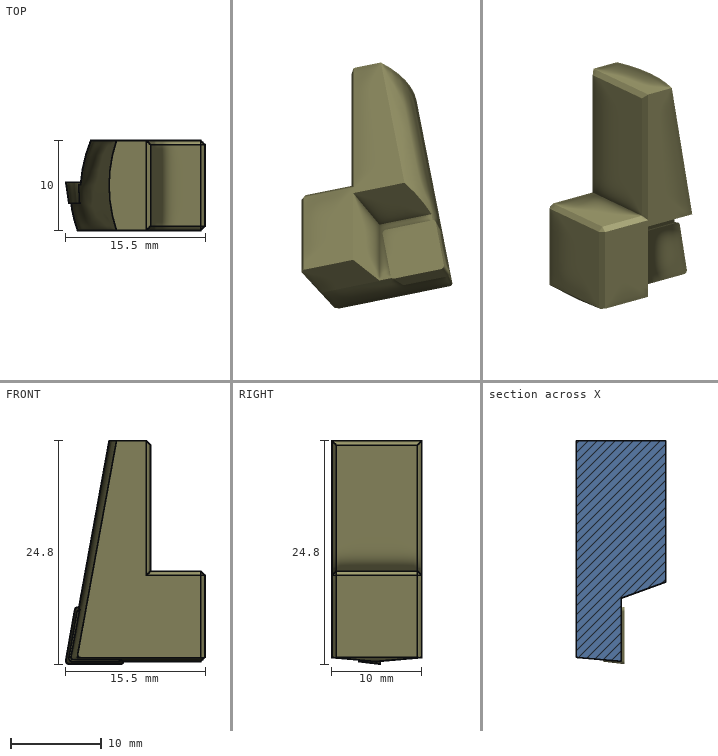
import cadquery as cq
import math

LENGTH = 15.45
WIDTH = 10.0
HEIGHT = 24.8
MID_Y = WIDTH / 2
POST_RIGHT = 9.42
SHOULDER_Z = 10.35
CHAMFER = 0.5

KEEL_Z = 0.3
KEEL_ANGLE = 5.0
LEAN_ANGLE = 10.3
BOW_TOP_X = 4.8
BOW_SAG = 0.82
TOE_RADIUS = 0.3

INSERT_SIDE = 6.45
INSERT_ANGLE = 80.0
INSERT_NOSE_RADIUS = 0.4
INSERT_RELIEF = 7.0
INSERT_THICKNESS = 2.38
INSERT_FACE_Y = 5.38

NOTCH_FLOOR_Y = 5.08
NOTCH_ROOF_Z = 7.32
NOTCH_ROOF_ANGLE = 20.0
NOTCH_WALL_X = 7.94
NOTCH_WALL_ANGLE = 12.0

MARGIN = 2.48


def tan(degrees):
    return math.tan(math.radians(degrees))


def make_block():
    """L-shaped prism with chamfers around its right-hand and shoulder faces."""
    block = (
        cq.Workplane("XZ")
        .moveTo(-MARGIN, KEEL_Z)
        .lineTo(LENGTH, KEEL_Z)
        .lineTo(LENGTH, SHOULDER_Z)
        .lineTo(POST_RIGHT, SHOULDER_Z)
        .lineTo(POST_RIGHT, HEIGHT)
        .lineTo(-MARGIN, HEIGHT)
        .close()
        .extrude(-WIDTH)
    )
    right_side = cq.selectors.BoxSelector(
        (POST_RIGHT - 0.25, -0.25, 0), (LENGTH + 0.25, WIDTH + 0.25, HEIGHT + 0.25)
    )
    inner_corner = cq.selectors.NearestToPointSelector((POST_RIGHT, MID_Y, SHOULDER_Z))
    return block.edges(right_side - inner_corner).chamfer(CHAMFER)


def make_envelope():
    """Space behind the bowed face and above the V-shaped underside."""
    top_edge_x = BOW_TOP_X + BOW_SAG
    plan = (
        cq.Workplane("XY", origin=(0, 0, HEIGHT))
        .moveTo(2 * LENGTH, 0)
        .lineTo(top_edge_x, 0)
        .threePointArc((BOW_TOP_X, MID_Y), (top_edge_x, WIDTH))
        .lineTo(2 * LENGTH, WIDTH)
        .close()
    )
    sweep = cq.Vector(-HEIGHT * tan(LEAN_ANGLE), 0, -HEIGHT)
    leaning = cq.Workplane(cq.Solid.extrudeLinear(plan.val(), [], sweep))
    side_z = KEEL_Z + MID_Y * tan(KEEL_ANGLE)
    keel = (
        cq.Workplane("YZ", origin=(-MARGIN, 0, 0))
        .polyline([(0, side_z), (MID_Y, KEEL_Z), (WIDTH, side_z), (WIDTH, HEIGHT), (0, HEIGHT)])
        .close()
        .extrude(LENGTH + 2 * MARGIN)
    )
    envelope = leaning.intersect(keel)
    toe = cq.selectors.BoxSelector((-MARGIN, -0.25, 0), (MARGIN, WIDTH + 0.25, side_z + 0.25))
    return envelope.edges(toe).fillet(TOE_RADIUS)


def make_notch():
    """Chip clearance with a sloping roof and a slanted end wall."""
    depth_y = WIDTH + MARGIN - NOTCH_FLOOR_Y
    roof_end_z = NOTCH_ROOF_Z + depth_y * tan(NOTCH_ROOF_ANGLE)
    wall_end_x = NOTCH_WALL_X + depth_y * tan(NOTCH_WALL_ANGLE)
    outer_y = WIDTH + MARGIN
    profile = (
        cq.Workplane("YZ", origin=(-MARGIN, 0, 0))
        .polyline([
            (NOTCH_FLOOR_Y, -MARGIN), (outer_y, -MARGIN),
            (outer_y, roof_end_z), (NOTCH_FLOOR_Y, NOTCH_ROOF_Z),
        ])
        .close()
        .extrude(LENGTH + MARGIN)
    )
    plan = (
        cq.Workplane("XY", origin=(0, 0, -MARGIN))
        .polyline([
            (-MARGIN, NOTCH_FLOOR_Y), (NOTCH_WALL_X, NOTCH_FLOOR_Y),
            (wall_end_x, outer_y), (-MARGIN, outer_y),
        ])
        .close()
        .extrude(HEIGHT)
    )
    return profile.intersect(plan)


def make_insert():
    """Rhombic cutting insert, its rounded nose tangent to x = 0 and z = 0."""
    corner_x = INSERT_NOSE_RADIUS * (1 - 1 / tan(INSERT_ANGLE / 2))
    rise = INSERT_SIDE * math.sin(math.radians(INSERT_ANGLE))
    run = INSERT_SIDE * math.cos(math.radians(INSERT_ANGLE))
    return (
        cq.Workplane("XZ", origin=(0, INSERT_FACE_Y, 0))
        .polyline([
            (corner_x, 0),
            (corner_x + INSERT_SIDE, 0),
            (corner_x + INSERT_SIDE + run, rise),
            (corner_x + run, rise),
        ])
        .close()
        .extrude(INSERT_THICKNESS, taper=INSERT_RELIEF)
        .edges("not #Y")
        .fillet(INSERT_NOSE_RADIUS)
    )


insert = make_insert()
holder = make_block().intersect(make_envelope()).cut(make_notch()).cut(insert)

result = cq.Compound.makeCompound([holder.solids().val(), insert.solids().val()])